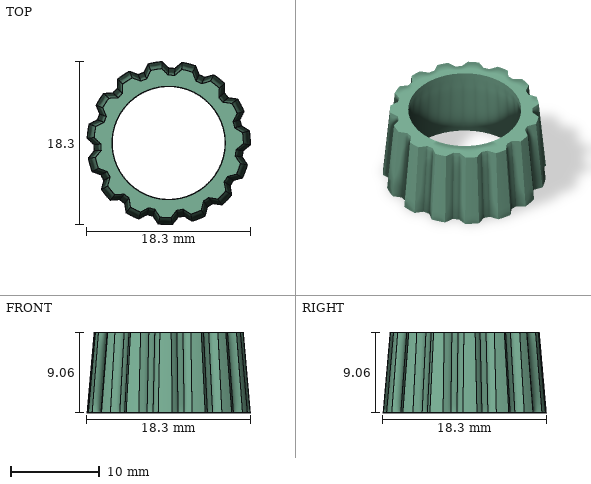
import cadquery as cq
import math

overall_width = 18.35
height = 9.06
tooth_count = 15
first_tooth_angle = 3.6
tooth_depth = 0.77
base_tip_width = 1.58
top_tip_width = 1.27
root_width = 0.7
draft_angle = 5.0
bore_top_radius = 6.35

tooth_pitch = 360.0 / tooth_count
draft_offset = height * math.tan(math.radians(draft_angle))
bore_base_radius = bore_top_radius + draft_offset


def half_angle(chord, radius):
    """Half the angle, in degrees, that a chord spans on a circle."""
    return math.degrees(math.asin(chord / (2 * radius)))


def base_tip_radius():
    """Tip radius that gives the overall width.

    The first tooth crosses the +X axis. On the -X side the corner of a tooth reaches farthest,
    and it stops just short of the axis.
    """
    tip_half = half_angle(base_tip_width, overall_width / 2)
    tooth_before_axis = first_tooth_angle + (tooth_count // 2) * tooth_pitch
    gap_to_axis = 180.0 - (tooth_before_axis + tip_half)
    return overall_width / (1 + math.cos(math.radians(gap_to_axis)))


def polar(radius, angle):
    """Point at a radius and an angle in degrees."""
    turn = math.radians(angle)
    return (radius * math.cos(turn), radius * math.sin(turn))


def add_toothed_outline(plane, tip_radius, tip_width):
    """Draw a closed outline of tip and root arcs joined by straight flanks."""
    root_radius = tip_radius - tooth_depth
    tip_half = half_angle(tip_width, tip_radius)
    root_half = half_angle(root_width, root_radius)
    outline = plane.moveTo(*polar(tip_radius, first_tooth_angle - tip_half))
    for index in range(tooth_count):
        tip = first_tooth_angle + index * tooth_pitch
        root = tip + tooth_pitch / 2
        next_tip_start = tip + tooth_pitch - tip_half
        outline = (
            outline
            .threePointArc(polar(tip_radius, tip), polar(tip_radius, tip + tip_half))
            .lineTo(*polar(root_radius, root - root_half))
            .threePointArc(polar(root_radius, root), polar(root_radius, root + root_half))
        )
        if index < tooth_count - 1:
            outline = outline.lineTo(*polar(tip_radius, next_tip_start))
    return outline.close()


def toothed_body():
    """Solid drafted body, ruled between the base and top outlines."""
    tip_radius = base_tip_radius()
    base = add_toothed_outline(cq.Workplane("XY"), tip_radius, base_tip_width)
    upper_plane = base.workplane(offset=height)
    both = add_toothed_outline(upper_plane, tip_radius - draft_offset, top_tip_width)
    return both.loft(ruled=True)


def tapered_bore():
    """Through bore, widest at the base."""
    return cq.Workplane("XY").circle(bore_base_radius).extrude(height, taper=draft_angle)


result = toothed_body().cut(tapered_bore())